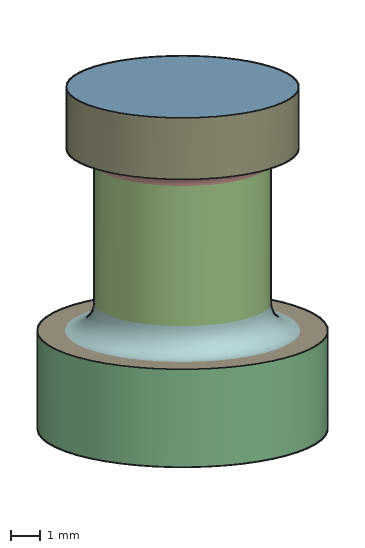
import cadquery as cq

total_height = 12.2
base_diameter = 10.0
base_height = 3.5
neck_diameter = 6.1
head_diameter = 8.0
head_height = 2.2
base_fillet = 1.0
head_fillet = 0.5

base_radius = base_diameter / 2
neck_radius = neck_diameter / 2
head_radius = head_diameter / 2
head_bottom = total_height - head_height


def half_profile():
    """Closed outline in the XZ plane, from the axis outwards."""
    return (
        cq.Workplane("XZ")
        .moveTo(0, 0)
        .lineTo(base_radius, 0)
        .lineTo(base_radius, base_height)
        .lineTo(neck_radius + base_fillet, base_height)
        .radiusArc((neck_radius, base_height + base_fillet), base_fillet)
        .lineTo(neck_radius, head_bottom - head_fillet)
        .radiusArc((neck_radius + head_fillet, head_bottom), head_fillet)
        .lineTo(head_radius, head_bottom)
        .lineTo(head_radius, total_height)
        .lineTo(0, total_height)
        .close()
    )


result = half_profile().revolve(360, (0, 0, 0), (0, 1, 0))